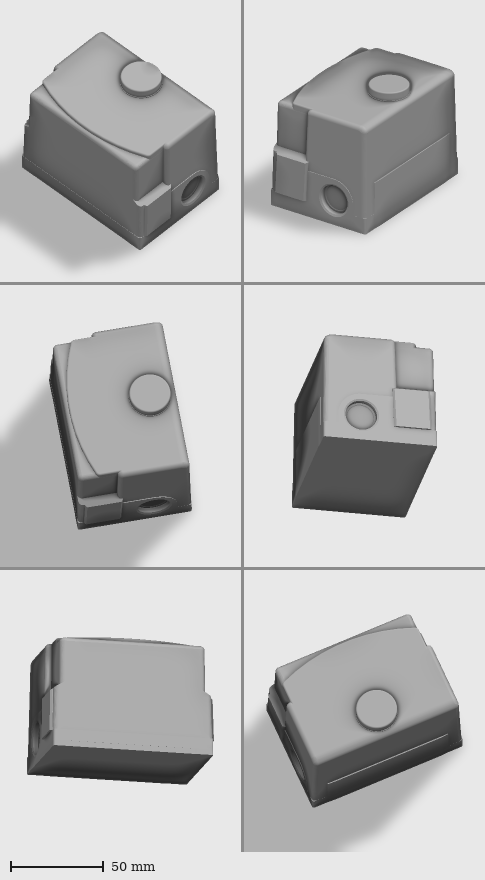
import cadquery as cq
import math

BASE_LIP_TOP = 3.0
BASE_TOP = 9.3
ROOF_TOP = 63.15
TERRACE_TOP = 61.15
CAP_TOP = 68.4

BASE_HALF_X = 44.2
BASE_FRONT = -31.4
BASE_BACK = 31.0
BASE_DRAFT = 0.05
BASE_CORNER_RADIUS = 1.1
BASE_CORNER_TOP_RADIUS = 1.3
RIM_RECESS_DEPTH = 0.1
RIM_RECESS_HALF = 35.0
RIM_RECESS_RAMP = 1.0

COVER_HALF_LOW = 44.1
COVER_HALF_HIGH = 42.8
FRONT_LOW = -31.2
FRONT_HIGH = -30.2
BACK_LOW = 30.9
BACK_HIGH = 30.1
STEP_LOW = -10.2
STEP_HIGH = -8.7
NECK_HALF_LOW = 40.8
NECK_HALF_HIGH = 39.95
EDGE_RADIUS = 2.5
TERRACE_RADIUS = 2.3
BACK_ARC_START = 25.6
BACK_ARC_RADIUS = 5.6
NECK_BACK = 0

ARC_RADIUS = 100.1
ARC_FRONT = -28.2
ROOF_CORNER_RADIUS = 2.5
ROOF_EDGE_RADIUS = 0.9

SHOULDER_HALF_LOW = 45.5
SHOULDER_HALF_HIGH = 44.9
SHOULDER_BACK_LOW = -7.6
SHOULDER_BACK_HIGH = -6.5
SHOULDER_FRONT_LOW = -28.2
SHOULDER_FRONT_HIGH = -27.2
SHOULDER_CHAMFER = 1.1
SLOPE_INNER_X = 37.8
SLOPE_INNER_Z = 36.2
SLOPE_ANGLE = 30

ENTRY_Y = 10.3
ENTRY_Z = 14.8
ENTRY_DIAMETER = 17.3
ENTRY_DEPTH = 3.4
ENTRY_CHAMFER = 1.2
ENTRY_CHAMFER_DEPTH = 0.6
DISC_OUTER_DIAMETER = 15.3
DISC_INNER_DIAMETER = 14.4
DISC_DEPTH = 0.3
PAD_RADIUS = 12.65
PAD_FRONT = -8.2

PANEL_TOP = 27.8
PANEL_HALF = 30.9
PANEL_RAMP = 4.55
PANEL_BACK = 31.3

CAP_Y = 15.9
CAP_FOOT_DIAMETER = 22.9
CAP_FOOT_TOP = 63.7
CAP_DIAMETER = 22.2
CAP_FILLET = 0.7


def drafted_block(z_low, low, z_high, high):
    """Four-sided block lofted between two (x0, x1, y0, y1) rectangles."""
    block = cq.Workplane("XY", origin=(0, 0, z_low))
    for rise, (x0, x1, y0, y1) in ((0, low), (z_high - z_low, high)):
        block = block.workplane(offset=rise)
        block = block.moveTo(x0, y0).lineTo(x1, y0).lineTo(x1, y1).lineTo(x0, y1).close()
    return block.loft(ruled=True)


def at_height(low, high, z):
    """Drafted position at height z, given its values at the base top and roof."""
    return low + (high - low) * (z - BASE_TOP) / (ROOF_TOP - BASE_TOP)


def cover_block(half, y0, y1, z_high):
    """Drafted block of the cover; half, y0 and y1 are (low, high) pairs."""
    rectangles = []
    for z in (BASE_TOP, z_high):
        h = at_height(*half, z)
        rectangles.append((-h, h, at_height(*y0, z), at_height(*y1, z)))
    return drafted_block(BASE_TOP, rectangles[0], z_high, rectangles[1])


COVER_HALF = (COVER_HALF_LOW, COVER_HALF_HIGH)
NECK_HALF = (NECK_HALF_LOW, NECK_HALF_HIGH)
FRONT = (FRONT_LOW, FRONT_HIGH)
BACK = (BACK_LOW, BACK_HIGH)
STEP = (STEP_LOW, STEP_HIGH)
OVERLAP = (NECK_BACK, NECK_BACK)


def base_outline(inset, radius, z):
    """Rounded outline of the base at height z, moved inward by the inset."""
    width = 2 * (BASE_HALF_X - inset)
    depth = BASE_BACK - BASE_FRONT - 2 * inset
    middle = (BASE_BACK + BASE_FRONT) / 2
    outline = cq.Sketch().rect(width, depth).vertices().fillet(radius)
    return outline.moved(cq.Location(cq.Vector(0, middle, z)))


def base():
    rim_size = (2 * BASE_HALF_X, BASE_BACK - BASE_FRONT)
    middle = (BASE_BACK + BASE_FRONT) / 2
    rim = cq.Workplane("XY").center(0, middle).rect(*rim_size).extrude(BASE_LIP_TOP)
    rim = rim.edges("|Z").fillet(BASE_CORNER_RADIUS)
    wall = (
        cq.Workplane("XY")
        .placeSketch(
            base_outline(0, BASE_CORNER_RADIUS, BASE_LIP_TOP),
            base_outline(BASE_DRAFT, BASE_CORNER_TOP_RADIUS, BASE_TOP),
        )
        .loft()
    )
    inner = RIM_RECESS_HALF - RIM_RECESS_RAMP
    recess = (
        cq.Workplane("XY")
        .moveTo(-RIM_RECESS_HALF, BASE_FRONT)
        .lineTo(-inner, BASE_FRONT + RIM_RECESS_DEPTH)
        .lineTo(inner, BASE_FRONT + RIM_RECESS_DEPTH)
        .lineTo(RIM_RECESS_HALF, BASE_FRONT)
        .close()
        .extrude(BASE_LIP_TOP)
    )
    return rim.cut(recess).union(wall)


def back_edge_cut():
    """Bar outside the large arc that joins the roof to the back wall."""
    reach = 2 * BACK_ARC_RADIUS
    bottom = ROOF_TOP - BACK_ARC_RADIUS
    end = BACK_ARC_START + BACK_ARC_RADIUS
    bend = BACK_ARC_RADIUS * math.sqrt(0.5)
    return (
        cq.Workplane("YZ")
        .moveTo(BACK_ARC_START, ROOF_TOP)
        .threePointArc((BACK_ARC_START + bend, bottom + bend), (end, bottom))
        .lineTo(end, bottom + reach)
        .lineTo(BACK_ARC_START, bottom + reach)
        .close()
        .extrude(BASE_HALF_X, both=True)
    )


def rear_cover():
    block = cover_block(COVER_HALF, STEP, BACK, ROOF_TOP).cut(back_edge_cut())
    corners = block.edges("not(#Z)").edges("<Y").vals()
    back_corners = block.faces(">Y").edges("<X or >X").vals()
    block = block.newObject(corners + back_corners).fillet(EDGE_RADIUS)
    return block.faces(">Z").edges("<X or >X").fillet(EDGE_RADIUS)


def neck():
    block = cover_block(NECK_HALF, FRONT, OVERLAP, TERRACE_TOP)
    block = block.edges("not(#Z)").edges("<Y").fillet(EDGE_RADIUS)
    return block.faces(">Z").edges("not(>Y)").fillet(TERRACE_RADIUS)


def curved_roof():
    """Raised part of the roof over the front, ending in a wide shallow arc."""
    half = at_height(*NECK_HALF, TERRACE_TOP)
    arc_end = ARC_FRONT + ARC_RADIUS - math.sqrt(ARC_RADIUS**2 - half**2)
    bottom = TERRACE_TOP - TERRACE_RADIUS
    roof = (
        cq.Workplane("XY", origin=(0, 0, bottom))
        .moveTo(-half, NECK_BACK)
        .lineTo(-half, arc_end)
        .threePointArc((0, ARC_FRONT), (half, arc_end))
        .lineTo(half, NECK_BACK)
        .close()
        .extrude(ROOF_TOP - bottom)
    )
    roof = roof.edges("|Z").edges("<Y").fillet(ROOF_CORNER_RADIUS)
    return roof.faces(">Z").edges("not(>Y)").fillet(ROOF_EDGE_RADIUS)


def slope_height(x):
    return SLOPE_INNER_Z - (x - SLOPE_INNER_X) * math.tan(math.radians(SLOPE_ANGLE))


def lower_front():
    """Full-width front of the cover and its shoulders, under the sloped tops."""
    top = slope_height(0)
    body = cover_block(COVER_HALF, FRONT, OVERLAP, SLOPE_INNER_Z)
    body = body.edges("not(#Z)").edges("<Y").fillet(EDGE_RADIUS)
    low = (-SHOULDER_HALF_LOW, SHOULDER_HALF_LOW, SHOULDER_FRONT_LOW, SHOULDER_BACK_LOW)
    high = (-SHOULDER_HALF_HIGH, SHOULDER_HALF_HIGH, SHOULDER_FRONT_HIGH, SHOULDER_BACK_HIGH)
    shoulders = drafted_block(BASE_TOP, low, SLOPE_INNER_Z, high)
    shoulders = shoulders.edges("not(#Z)").chamfer(SHOULDER_CHAMFER)
    edge = 2 * BASE_HALF_X
    gable = (
        cq.Workplane("XZ")
        .polyline([(-edge, slope_height(edge)), (0, top), (edge, slope_height(edge))])
        .close()
        .extrude(2 * (BASE_BACK - BASE_FRONT), both=True)
    )
    return body.union(shoulders).intersect(gable)


def back_panel():
    outer = PANEL_HALF + PANEL_RAMP
    return (
        cq.Workplane("XY")
        .polyline([(-PANEL_HALF, PANEL_BACK), (PANEL_HALF, PANEL_BACK), (outer, BASE_BACK),
                   (outer, 0), (-outer, 0), (-outer, BASE_BACK)])
        .close()
        .extrude(PANEL_TOP)
    )


def entry_pads():
    """Pads around both cable entries, rounded at the back and flush with the drafted base walls."""
    top = ENTRY_Z + PAD_RADIUS
    back = ENTRY_Y + PAD_RADIUS
    bend = PAD_RADIUS * math.sqrt(0.5)
    outline = (
        cq.Workplane("YZ")
        .moveTo(PAD_FRONT, BASE_LIP_TOP)
        .lineTo(back, BASE_LIP_TOP)
        .lineTo(back, ENTRY_Z)
        .threePointArc((ENTRY_Y + bend, ENTRY_Z + bend), (ENTRY_Y, top))
        .lineTo(PAD_FRONT, top)
        .close()
        .extrude(BASE_HALF_X, both=True)
    )
    top_half = BASE_HALF_X - BASE_DRAFT * (top - BASE_LIP_TOP) / (BASE_TOP - BASE_LIP_TOP)
    low = (-BASE_HALF_X, BASE_HALF_X, BASE_FRONT, BASE_BACK)
    high = (-top_half, top_half, BASE_FRONT, BASE_BACK)
    return outline.intersect(drafted_block(BASE_LIP_TOP, low, top, high))


def entry_cut():
    """Chamfered round entry in the -X side with a shallow disc in its floor."""
    radius = ENTRY_DIAMETER / 2
    floor = -BASE_HALF_X + ENTRY_DEPTH
    disc = floor + DISC_DEPTH
    return (
        cq.Workplane("XY")
        .moveTo(-BASE_HALF_X, 0)
        .lineTo(-BASE_HALF_X, radius + ENTRY_CHAMFER)
        .lineTo(-BASE_HALF_X + ENTRY_CHAMFER_DEPTH, radius)
        .lineTo(floor, radius)
        .lineTo(floor, DISC_OUTER_DIAMETER / 2)
        .lineTo(disc, DISC_INNER_DIAMETER / 2)
        .lineTo(disc, 0)
        .close()
        .revolve(360, (0, 0), (1, 0))
        .translate((0, ENTRY_Y, ENTRY_Z))
    )


def cap():
    foot_height = CAP_FOOT_TOP - ROOF_TOP
    foot = cq.Workplane("XY", origin=(0, CAP_Y, ROOF_TOP)).circle(CAP_FOOT_DIAMETER / 2)
    foot = foot.extrude(foot_height)
    knob = cq.Workplane("XY", origin=(0, CAP_Y, ROOF_TOP)).circle(CAP_DIAMETER / 2)
    knob = knob.extrude(CAP_TOP - ROOF_TOP).faces(">Z").edges().fillet(CAP_FILLET)
    return foot.union(knob)


part = base()
for feature in (rear_cover, lower_front, neck, curved_roof, back_panel, entry_pads, cap):
    part = part.union(feature())

entry = entry_cut()
result = part.cut(entry).cut(entry.mirror("YZ"))